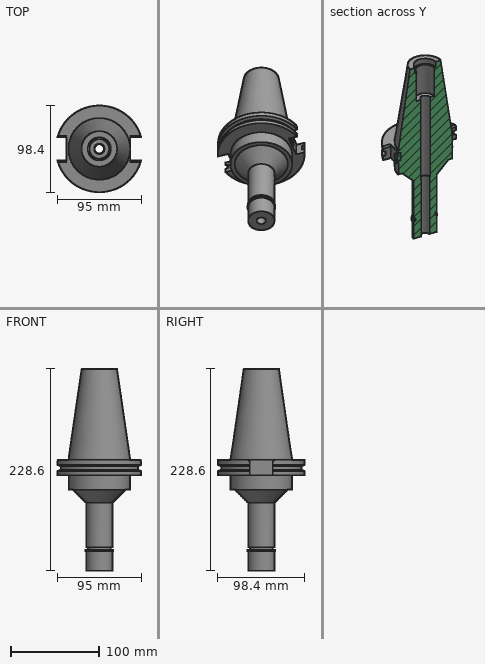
import cadquery as cq


gauge_dia = 69.85
taper_length = 101.6
taper_ratio = 7 / 24
small_end_dia = gauge_dia - taper_length * taper_ratio

flange_dia = 98.425
flange_top = -1.5
flange_bottom = -19.05
vee_floor_dia = 91.4
vee_top = -7.0
vee_bottom = -14.15
vee_wall_rise = 1.5

keyway_width = 25.9
keyway_chamfer = 2.0
keyway_floor_left = 37.4
keyway_floor_right = 35.3

chip_dia = 9.5
chip_thickness = 4.5
chip_recess = 0.5
chip_height = -11.3

hub_bottom = -35.05
cone_top_dia = 60.0
neck_dia = 30.0
cone_bottom = hub_bottom - (cone_top_dia - neck_dia) / 2

counterbore_dia = 26.2
counterbore_depth = 7.0
drawbar_dia = 22.2
drawbar_depth = 45.0
coolant_bore_dia = 11.8
nose_bore_dia = 10.4
nose_bore_top = cone_bottom

groove_dia = 26.0
groove_top = -100.4
groove_bottom = -103.1
collar_dia = 31.4
collar_bottom = -105.0
nose_bottom = -127.0


def revolve_profile(points):
    """Revolve a closed (diameter, height) outline about the Z axis."""
    outline = [(diameter / 2, height) for diameter, height in points]
    return cq.Workplane("XZ").polyline(outline).close().revolve(360, (0, 0, 0), (0, 1, 0))


def keyway(side, floor):
    """Keyway cutter on one X side (+1 or -1), with chamfered top edges."""
    half = keyway_width / 2
    chamfer_bottom = flange_top - keyway_chamfer
    section = [
        (-half, flange_bottom),
        (half, flange_bottom),
        (half, chamfer_bottom),
        (half + keyway_chamfer, flange_top),
        (-half - keyway_chamfer, flange_top),
        (-half, chamfer_bottom),
    ]
    return (
        cq.Workplane("YZ")
        .workplane(offset=side * floor)
        .polyline(section)
        .close()
        .extrude(side * flange_dia / 2)
    )


def make_holder():
    counterbore_floor = taper_length - counterbore_depth
    drawbar_floor = taper_length - drawbar_depth
    body = revolve_profile([
        (counterbore_dia, taper_length),
        (small_end_dia, taper_length),
        (gauge_dia, 0),
        (gauge_dia, flange_top),
        (flange_dia, flange_top),
        (flange_dia, vee_top),
        (vee_floor_dia, vee_top - vee_wall_rise),
        (vee_floor_dia, vee_bottom + vee_wall_rise),
        (flange_dia, vee_bottom),
        (flange_dia, flange_bottom),
        (gauge_dia, flange_bottom),
        (gauge_dia, hub_bottom),
        (cone_top_dia, hub_bottom),
        (neck_dia, cone_bottom),
        (neck_dia, groove_top),
        (groove_dia, groove_top),
        (groove_dia, groove_bottom),
        (collar_dia, groove_bottom),
        (collar_dia, collar_bottom),
        (neck_dia, collar_bottom),
        (neck_dia, nose_bottom),
        (nose_bore_dia, nose_bottom),
        (nose_bore_dia, nose_bore_top),
        (coolant_bore_dia, nose_bore_top),
        (coolant_bore_dia, drawbar_floor),
        (drawbar_dia, drawbar_floor),
        (drawbar_dia, counterbore_floor),
        (counterbore_dia, counterbore_floor),
    ])
    body = body.cut(keyway(-1, keyway_floor_left))
    body = body.cut(keyway(1, keyway_floor_right))
    pocket = chip_disc(keyway_floor_left, chip_recess + chip_thickness)
    return body.cut(pocket)


def chip_disc(outer_face, thickness):
    """Disc on the chip axis, with its outer face at the given distance from the spindle axis."""
    return (
        cq.Workplane("YZ")
        .workplane(offset=-outer_face)
        .center(0, chip_height)
        .circle(chip_dia / 2)
        .extrude(thickness)
    )


def make_chip():
    return chip_disc(keyway_floor_left - chip_recess, chip_thickness)


holder = make_holder()
chip = make_chip()

result = cq.Compound.makeCompound([holder.val(), chip.val()])